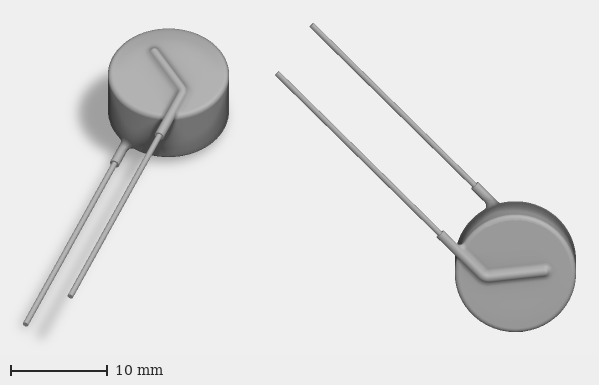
import cadquery as cq
import math

disc_diameter = 12.5
disc_thickness = 6.5
rim_round = 0.5

sleeve_diameter = 1.0
ridge_blend = 0.6
lead_pitch = 5.0
sleeve_end_y = -8.52
bend_start_y = -2.45
bend_radius = 1.0
bend_angle = 51.7
slant_length = 5.7

wire_radius = 0.3
overall_length = 38.75

face_turns = (0, 180)

tolerance = 0.005

disc_radius = disc_diameter / 2
sleeve_radius = sleeve_diameter / 2
lead_x = lead_pitch / 2
face_z = disc_thickness / 2
flat_radius = disc_radius - rim_round
wire_length = overall_length - disc_radius + sleeve_end_y


def turn_to_face(body, turn):
    """Turn an upper lead or ridge about Y, so that half a turn puts it on the lower face."""
    return body.rotate((0, 0, 0), (0, 1, 0), turn)


def bend_point(angle):
    """Point of the ridge axis after it has turned by the given angle in degrees."""
    turn = math.radians(angle)
    x = lead_x - bend_radius + bend_radius * math.cos(turn)
    y = bend_start_y + bend_radius * math.sin(turn)
    return x, y


def make_ridge():
    """Round sleeve that runs in along Y, bends, slants across the face and ends in a ball."""
    turn = math.radians(bend_angle)
    bend_end = bend_point(bend_angle)
    tip = (bend_end[0] - slant_length * math.sin(turn), bend_end[1] + slant_length * math.cos(turn))
    path = (
        cq.Workplane("XY", origin=(0, 0, face_z))
        .moveTo(lead_x, sleeve_end_y)
        .lineTo(lead_x, bend_start_y)
        .threePointArc(bend_point(bend_angle / 2), bend_end)
        .lineTo(*tip)
    )
    tube = cq.Workplane("XZ", origin=(lead_x, sleeve_end_y, face_z)).circle(sleeve_radius).sweep(path)
    ball = cq.Workplane("XY", origin=(*tip, face_z)).sphere(sleeve_radius)
    return tube.union(ball)


def make_disc():
    """Disc centred on the origin, with both rims rounded."""
    disc = cq.Workplane("XY", origin=(0, 0, -face_z)).circle(disc_radius).extrude(disc_thickness)
    return disc.edges("%CIRCLE").fillet(rim_round)


def is_ridge_root(edge):
    """True for an edge in the concave corner where a ridge leaves the disc."""
    crosses_rim = edge.geomType() == "BSPLINE"
    sample_points = (edge.positionAt(0.25), edge.positionAt(0.5))
    lies_inside_face = all(
        abs(abs(point.z) - face_z) < tolerance
        and math.hypot(point.x, point.y) < flat_radius - tolerance
        for point in sample_points
    )
    return crosses_rim or lies_inside_face


def make_housing():
    """Disc with a ridge on each face, blended into it all round."""
    ridge = make_ridge()
    body = make_disc()
    for turn in face_turns:
        body = body.union(turn_to_face(ridge, turn))
    roots = [edge for edge in body.edges().vals() if is_ridge_root(edge)]
    return body.newObject(roots).fillet(ridge_blend)


def make_wire():
    """Bare wire that continues the upper sleeve from its end face."""
    end_face = cq.Workplane("XZ", origin=(lead_x, sleeve_end_y, face_z))
    return end_face.circle(wire_radius).extrude(wire_length)


housing = make_housing()
wires = [turn_to_face(make_wire(), turn) for turn in face_turns]

result = cq.Compound.makeCompound([housing.val(), *[wire.val() for wire in wires]])